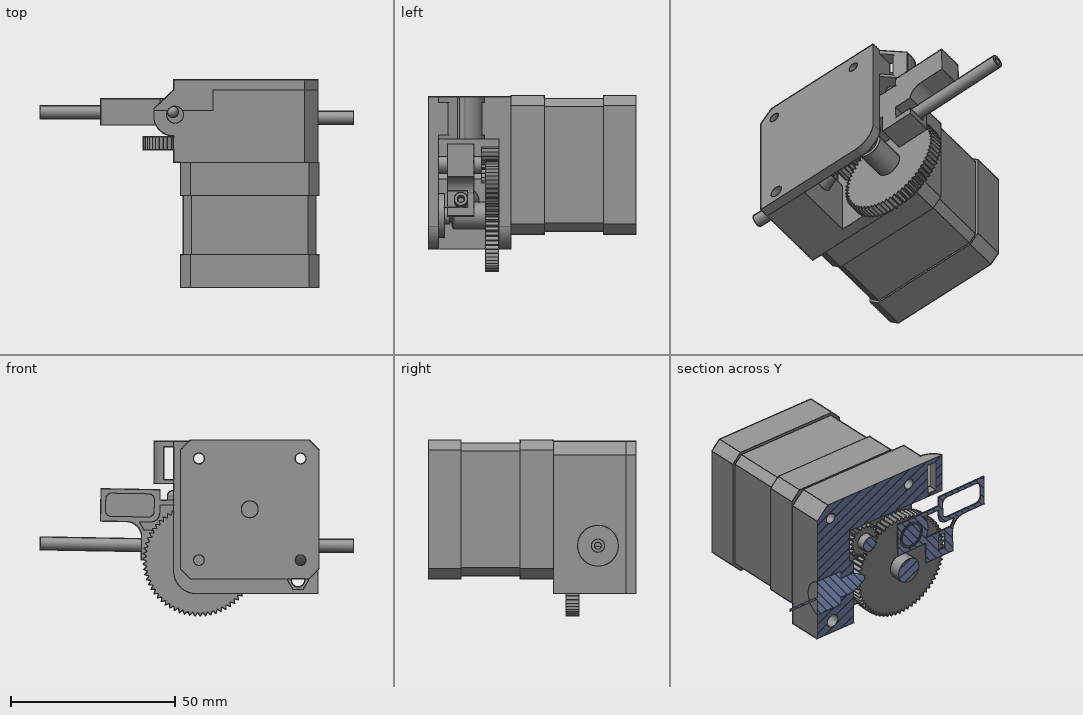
import cadquery as cq
import math


cap_width = 42.3
cap_chamfer = 3.1
core_width = 40.5
core_chamfer = 2.5
front_cap_length = 10.1
core_length = 17.9
rear_cap_length = 10.0
motor_length = front_cap_length + core_length + rear_cap_length
screw_offset = 15.5
screw_radius = 1.6
shaft_radius = 2.6
shaft_end_gap = 1.0

depth = 25.2
lid_thickness = 3.15
split_y = depth - lid_thickness
plate_thickness = 3.6
left_x = -23.2
right_x = 20.8
top_z = 20.7
bottom_z = -25.7
bottom_corner_radius = 7.0
top_corner_chamfer = 4.2
cavity_top = 7.8
cavity_back = 7.9
cavity_step_top = -2.6
cavity_step = 1.7
mouth_overrun = 9.5
cavity_mouth_x = left_x - mouth_overrun
ear_y = 15.75
ear_right_x = -11.2
ear_tip_y = 16.3
barrel_radius = 6.0
barrel_y = 14.0
barrel_left_x = left_x - barrel_radius
slot_left_x = -26.2
slot_top = 19.0
slot_bottom = 9.1
spring_hole_x = -22.7
spring_hole_y = 14.5
spring_hole_radius = 2.6
nut_x = 14.7
nut_z = -21.6
nut_flats = 5.5
nut_depth = 2.9
bolt_radius = 2.0

gear_teeth = 66
gear_radius = 17.1
gear_y = 3.8
gear_width = 4.0
gear_start_angle = 45.0 + 180.0 / gear_teeth
pinion_teeth = 20
pinion_radius = 5.5
pinion_width = 5.4
pinion_start_angle = 225.0
tooth_height = 1.05
root_half_width = 0.46
tip_half_width = 0.02
hub_radius = 4.1
hub_end_y = 17.4
hob_cone_radius = 3.4
hob_cone_y = 17.85
hob_groove_radius = 1.5
hob_groove_y = 18.2
journal_y = 18.8
journal_radius = 2.5

bearing_radius = 6.7
bearing_y = 20.3
bearing_width = 3.4
bearing_end_y = bearing_y + bearing_width

filament_z = -11.1
tube_radius = 2.0
tube_bore_radius = 1.05
tube_y = 15.3
tube_tip_x = -63.6
guide_y = 13.6
guide_tip_x = 31.6
nose_x = 1.9
nose_radius = 3.8
collar_x = 11.5
collar_radius = 6.2

swing = 1.0
pivot_x = left_x
pivot_z = 2.9
lever_front_y = 11.4
lever_back_y = 19.4
lever_left_x = -45.3
lever_top = 5.9
lever_block_bottom = -4.0
lever_block_right_x = -27.3
lever_shelf = 2.8
lever_right_x = -11.0
lever_arm_bottom = -8.6
leg_left_x = -32.7
leg_right_x = -22.0
leg_bottom = -15.7
leg_fillet = 4.6
pocket_left_x = -43.8
pocket_right_x = -29.0
pocket_bottom = -2.5
pocket_top = 4.6
pocket_corner = 1.7
pocket_depth = 2.0
recess_depth = 1.4
recess_top = 1.2
recess_left_x = -33.5
recess_ledge_x = -32.0
recess_ledge = -6.5
recess_fillet = 2.9
boss_x = -16.4
boss_z = -3.15
boss_radius = 6.7
ring_outer_radius = 4.3
ring_inner_radius = 3.7
ring_depth = 0.5
seat_floor_x = -27.1
seat_front_y = 13.3
seat_bottom = -13.1
seat_top = -8.0
window_width = 2.4
stud_x = -23.4
stud_y = 15.4
stud_radius = 1.7
stud_height = 3.0


def along_y(start_y):
    """Sketch plane at start_y with local axes X and Z; negative extrusion runs toward +Y."""
    return cq.Workplane("XZ", origin=(0, start_y, 0))


def cylinder_y(radius, x, z, start_y, end_y):
    return along_y(start_y).center(x, z).circle(radius).extrude(start_y - end_y)


def box_between(x0, x1, y0, y1, z0, z1):
    return cq.Workplane("XY").box(x1 - x0, y1 - y0, z1 - z0, centered=False).translate((x0, y0, z0))


def chamfered_prism(width, chamfer, start_y, length):
    prism = along_y(start_y).rect(width, width).extrude(-length)
    return prism.edges("|Y").chamfer(chamfer)


def make_motor():
    rear_cap_y = -motor_length
    core_y = rear_cap_y + rear_cap_length
    motor = chamfered_prism(cap_width, cap_chamfer, rear_cap_y, rear_cap_length)
    motor = motor.union(chamfered_prism(core_width, core_chamfer, core_y, core_length))
    motor = motor.union(chamfered_prism(cap_width, cap_chamfer, -front_cap_length, front_cap_length))
    for x in (-screw_offset, screw_offset):
        for z in (-screw_offset, screw_offset):
            motor = motor.cut(cylinder_y(screw_radius, x, z, -motor_length, 0))
    return motor.cut(cylinder_y(shaft_radius, 0, 0, -motor_length, 0))


def make_motor_shaft():
    return cylinder_y(shaft_radius, 0, 0, shaft_end_gap - motor_length, split_y)


def case_plate(start_y, end_y):
    """Slab with the outline that housing and lid share."""
    plate = (
        along_y(start_y)
        .moveTo(left_x, top_z)
        .lineTo(right_x - top_corner_chamfer, top_z)
        .lineTo(right_x, top_z - top_corner_chamfer)
        .lineTo(right_x, bottom_z)
        .lineTo(left_x, bottom_z)
        .close()
        .extrude(start_y - end_y)
    )
    return plate.edges("|Y and <X and <Z").fillet(bottom_corner_radius)


def barrel_cuts():
    """Vertical spring hole and the window behind the barrel wall."""
    hole = (
        cq.Workplane("XY", origin=(spring_hole_x, spring_hole_y, cavity_top))
        .circle(spring_hole_radius)
        .extrude(top_z - cavity_top)
    )
    return hole.union(box_between(slot_left_x, left_x, 0, depth, slot_bottom, slot_top))


def case_screw_holes():
    """Two upper motor screws and the lower bolt, through housing and lid."""
    holes = cylinder_y(bolt_radius, nut_x, nut_z, 0, depth)
    for x in (-screw_offset, screw_offset):
        holes = holes.union(cylinder_y(screw_radius, x, screw_offset, 0, depth))
    return holes


def cavity():
    """Gear chamber, open toward -X and downward, with a sloped step in its back wall."""
    return (
        along_y(plate_thickness)
        .moveTo(cavity_mouth_x, cavity_top)
        .lineTo(cavity_back, cavity_top)
        .lineTo(cavity_back, cavity_step_top)
        .lineTo(cavity_back - cavity_step, cavity_step_top - cavity_step)
        .lineTo(cavity_back - cavity_step, bottom_z)
        .lineTo(cavity_mouth_x, bottom_z)
        .close()
        .extrude(plate_thickness - split_y)
    )


def barrel_half():
    """Housing half of the spring barrel."""
    diagonal = barrel_radius * math.sqrt(0.5)
    return (
        cq.Workplane("XY", origin=(0, 0, cavity_top))
        .moveTo(left_x, ear_y)
        .lineTo(barrel_left_x, ear_y)
        .lineTo(barrel_left_x, barrel_y)
        .threePointArc((left_x - diagonal, barrel_y - diagonal), (left_x, barrel_y - barrel_radius))
        .close()
        .extrude(top_z - cavity_top)
    )


def lid_ear():
    """Lid block that closes the spring barrel."""
    return (
        cq.Workplane("XY", origin=(0, 0, cavity_top))
        .moveTo(ear_right_x, ear_y)
        .lineTo(barrel_left_x, ear_y)
        .lineTo(barrel_left_x, ear_tip_y)
        .lineTo(left_x, split_y)
        .lineTo(ear_right_x, split_y)
        .close()
        .extrude(top_z - cavity_top)
    )


def make_housing():
    housing = case_plate(0, split_y).cut(cavity()).cut(lid_ear()).union(barrel_half())
    housing = housing.cut(barrel_cuts()).cut(case_screw_holes())
    nut_corners = nut_flats / math.cos(math.pi / 6)
    nut_pocket = along_y(0).center(nut_x, nut_z).polygon(6, nut_corners).extrude(-nut_depth)
    housing = housing.cut(nut_pocket).cut(guide_envelope())
    housing = housing.cut(cylinder_y(shaft_radius, 0, 0, 0, plate_thickness))
    housing = housing.cut(cylinder_y(screw_radius, -screw_offset, -screw_offset, 0, plate_thickness))
    lower_screw = cylinder_y(screw_radius, screw_offset, -screw_offset, 0, guide_y)
    return housing.cut(lower_screw)


def make_lid():
    lid = case_plate(split_y, depth).union(lid_ear())
    lid = lid.cut(barrel_cuts()).cut(case_screw_holes())
    return lid.cut(bearing_envelope())


def toothed_disc(teeth, tip_radius, start_angle, width, start_y):
    """Spur gear about the Y axis with straight-sided teeth."""
    root_radius = tip_radius - tooth_height
    pitch_angle = 2 * math.pi / teeth
    flank = (
        (root_radius, -root_half_width),
        (tip_radius, -tip_half_width),
        (tip_radius, tip_half_width),
        (root_radius, root_half_width),
    )
    points = []
    for tooth in range(teeth):
        middle = math.radians(start_angle) + tooth * pitch_angle
        for radius, fraction in flank:
            angle = middle + fraction * pitch_angle
            points.append((radius * math.cos(angle), radius * math.sin(angle)))
    return along_y(start_y).polyline(points).close().extrude(-width)


def make_drive_gear():
    """Large gear with its hub, hobbed groove and bearing journal."""
    gear = toothed_disc(gear_teeth, gear_radius, gear_start_angle, gear_width, gear_y)
    hob = (
        cq.Workplane("XY")
        .moveTo(0, gear_y)
        .lineTo(hub_radius, gear_y)
        .lineTo(hub_radius, hub_end_y)
        .lineTo(hob_cone_radius, hob_cone_y)
        .lineTo(hob_groove_radius, hob_groove_y)
        .lineTo(journal_radius, journal_y)
        .lineTo(journal_radius, bearing_end_y)
        .lineTo(0, bearing_end_y)
        .close()
        .revolve(360, (0, 0, 0), (0, 1, 0))
    )
    return gear.union(hob).translate((-screw_offset, 0, -screw_offset))


def make_pinion():
    pinion = toothed_disc(pinion_teeth, pinion_radius, pinion_start_angle, pinion_width, plate_thickness)
    return pinion.cut(make_motor_shaft())


def bearing_envelope():
    return cylinder_y(bearing_radius, -screw_offset, -screw_offset, bearing_y, bearing_end_y)


def make_bearing():
    bore = cylinder_y(journal_radius, -screw_offset, -screw_offset, bearing_y, bearing_end_y)
    return bearing_envelope().cut(bore)


def guide_envelope():
    """Outlet guide without its bore: conical nose, sleeve, collar and tube."""
    sleeve_x = cavity_back - cavity_step
    profile = (
        cq.Workplane("XY")
        .moveTo(nose_x, 0)
        .lineTo(nose_x, tube_radius)
        .lineTo(sleeve_x, nose_radius)
        .lineTo(collar_x, nose_radius)
        .lineTo(collar_x, collar_radius)
        .lineTo(right_x, collar_radius)
        .lineTo(right_x, tube_radius)
        .lineTo(guide_tip_x, tube_radius)
        .lineTo(guide_tip_x, 0)
        .close()
    )
    return profile.revolve(360, (0, 0, 0), (1, 0, 0)).translate((0, guide_y, filament_z))


def make_outlet_guide():
    bore = (
        cq.Workplane("YZ", origin=(nose_x, guide_y, filament_z))
        .circle(tube_bore_radius)
        .extrude(guide_tip_x - nose_x)
    )
    return guide_envelope().cut(bore)


def swing_lever(body):
    return body.rotate((pivot_x, 0, pivot_z), (pivot_x, 1, pivot_z), swing)


def lever_blank():
    arc_x = leg_left_x - leg_fillet
    arc_z = lever_block_bottom - leg_fillet
    diagonal = leg_fillet * math.sqrt(0.5)
    return (
        along_y(lever_front_y)
        .moveTo(lever_left_x, lever_top)
        .lineTo(lever_block_right_x, lever_top)
        .lineTo(lever_block_right_x, lever_shelf)
        .lineTo(lever_right_x, lever_shelf)
        .lineTo(lever_right_x, lever_arm_bottom)
        .lineTo(leg_right_x, lever_arm_bottom)
        .lineTo(leg_right_x, leg_bottom)
        .lineTo(leg_left_x, leg_bottom)
        .lineTo(leg_left_x, arc_z)
        .threePointArc((arc_x + diagonal, arc_z + diagonal), (arc_x, lever_block_bottom))
        .lineTo(lever_left_x, lever_block_bottom)
        .close()
        .extrude(lever_front_y - lever_back_y)
    )


def lever_pocket():
    pocket = box_between(
        pocket_left_x, pocket_right_x, lever_front_y, lever_front_y + pocket_depth, pocket_bottom, pocket_top
    )
    return pocket.edges("|Y").fillet(pocket_corner)


def lever_recess():
    """Shallow recess in the arm, leaving the round boss standing."""
    corner_x = lever_block_right_x - recess_fillet
    corner_z = lever_block_bottom + recess_fillet
    diagonal = recess_fillet * math.sqrt(0.5)
    recess = (
        along_y(lever_front_y)
        .moveTo(lever_right_x, recess_top)
        .lineTo(lever_block_right_x, recess_top)
        .lineTo(lever_block_right_x, corner_z)
        .threePointArc((corner_x + diagonal, corner_z - diagonal), (corner_x, lever_block_bottom))
        .lineTo(recess_left_x, lever_block_bottom)
        .lineTo(recess_ledge_x, recess_ledge)
        .lineTo(lever_right_x, recess_ledge)
        .close()
        .extrude(-recess_depth)
    )
    return recess.cut(cylinder_y(boss_radius, boss_x, boss_z, lever_front_y, lever_back_y))


def boss_ring():
    """Narrow ring groove in the face of the round boss."""
    return (
        along_y(lever_front_y)
        .center(boss_x, boss_z)
        .circle(ring_outer_radius)
        .circle(ring_inner_radius)
        .extrude(-ring_depth)
    )


def tube_seat():
    """Square seat for the inlet tube, open at the back, with a window in its front wall."""
    seat = box_between(leg_left_x, seat_floor_x, seat_front_y, lever_back_y, seat_bottom, seat_top)
    window = box_between(
        seat_floor_x - window_width, seat_floor_x, lever_front_y, seat_front_y, seat_bottom, seat_top
    )
    entry_x = leg_left_x - leg_fillet
    entry = box_between(entry_x, leg_left_x, seat_front_y, lever_back_y, seat_bottom, seat_top)
    return seat.union(window).union(entry)


def spring_stud():
    """Round-ended stud that locates the spring on the arm."""
    straight = stud_height - stud_radius
    stud = cq.Workplane("XY", origin=(stud_x, stud_y, lever_shelf)).circle(stud_radius).extrude(straight)
    dome = cq.Workplane("XY", origin=(stud_x, stud_y, lever_shelf + straight)).sphere(stud_radius)
    return stud.union(dome)


def make_lever():
    lever = lever_blank().cut(lever_pocket()).cut(lever_recess()).cut(boss_ring()).cut(tube_seat())
    return swing_lever(lever.union(spring_stud()))


def make_inlet_tube():
    tube = (
        cq.Workplane("YZ", origin=(tube_tip_x, tube_y, filament_z))
        .circle(tube_radius)
        .circle(tube_bore_radius)
        .extrude(seat_floor_x - tube_tip_x)
    )
    return swing_lever(tube)


motor = make_motor()
motor_shaft = make_motor_shaft()
housing = make_housing()
lid = make_lid()
drive_gear = make_drive_gear()
pinion = make_pinion()
bearing = make_bearing()
lever = make_lever()
inlet_tube = make_inlet_tube()
outlet_guide = make_outlet_guide()

result = cq.Compound.makeCompound(
    [
        motor.val(),
        motor_shaft.val(),
        housing.val(),
        lid.val(),
        drive_gear.val(),
        pinion.val(),
        bearing.val(),
        lever.val(),
        inlet_tube.val(),
        outlet_guide.val(),
    ]
)